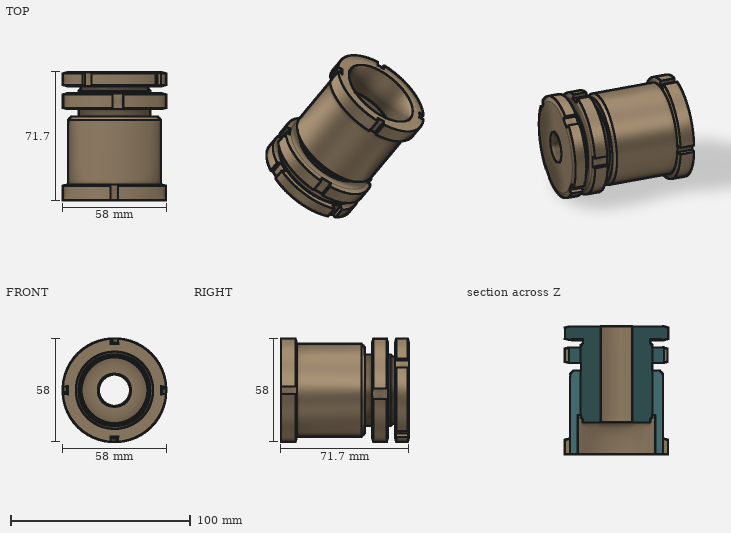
import cadquery as cq
import math


ring_radius = 29.0
edge_bevel_width = 3.0
edge_bevel_angle = 15.0
edge_bevel_height = edge_bevel_width * math.tan(math.radians(edge_bevel_angle))
slots_per_ring = 4

thread_radius = 20.0

housing_length = 47.0
flange_thickness = 9.0
barrel_radius = 26.0
barrel_chamfer = 2.0
counterbore_radius = 21.6
counterbore_depth = 22.0
flange_slot_width = 4.2
flange_slot_depth = ring_radius - barrel_radius

spanner_slot_width = 6.0
spanner_slot_depth = 2.5

locknut_start = 50.95
locknut_thickness = 9.0
locknut_turn = 4.0

spindle_end = 71.73
spindle_length = 54.0
spindle_start = spindle_end - spindle_length
head_thickness = 8.0
head_start = spindle_end - head_thickness
head_turn = -32.0
head_recess_radius = 25.0
head_recess_depth = 0.5
relief_radius = 18.9
relief_length = 1.1
relief_fillet = 0.8
relief_run_out_angle = 45.0
spindle_tip_chamfer = 0.5
through_hole_radius = 8.75
hole_chamfer = 0.5


def revolve_profile(points):
    """Revolve a closed outline of (radius, y) points about the Y axis."""
    return cq.Workplane("XY").polyline(points).close().revolve(360, (0, 0, 0), (0, 1, 0))


def cylinder(radius, start, end):
    """Solid cylinder on the Y axis between two Y positions."""
    return revolve_profile([(0, start), (radius, start), (radius, end), (0, end)])


def cut_rim_slots(body, start, end, width, depth, turn):
    """Cut the evenly spaced slots through a ring's rim, the first one turned away from +Z."""
    slot = cq.Workplane("XY").box(width, end - start, 2 * depth)
    slot = slot.translate((0, (start + end) / 2, ring_radius))
    for index in range(slots_per_ring):
        angle = turn + index * 360 / slots_per_ring
        body = body.cut(slot.rotate((0, 0, 0), (0, 1, 0), angle))
    return body


def double_bevelled_ring(start, end):
    """Disc whose rim is bevelled on both faces."""
    face_radius = ring_radius - edge_bevel_width
    return revolve_profile([
        (0, start),
        (face_radius, start),
        (ring_radius, start + edge_bevel_height),
        (ring_radius, end - edge_bevel_height),
        (face_radius, end),
        (0, end),
    ])


def make_housing():
    """Barrel with a slotted flange, a counterbore and a threaded bore."""
    body = revolve_profile([
        (0, 0),
        (ring_radius, 0),
        (ring_radius, flange_thickness - edge_bevel_height),
        (ring_radius - edge_bevel_width, flange_thickness),
        (barrel_radius, housing_length - barrel_chamfer),
        (barrel_radius - barrel_chamfer, housing_length),
        (0, housing_length),
    ])
    body = body.cut(cylinder(thread_radius, 0, housing_length))
    body = body.cut(cylinder(counterbore_radius, 0, counterbore_depth))
    return cut_rim_slots(body, 0, flange_thickness, flange_slot_width, flange_slot_depth, 0)


def make_locknut():
    """Slotted ring nut on the spindle thread."""
    end = locknut_start + locknut_thickness
    body = double_bevelled_ring(locknut_start, end)
    body = body.cut(cylinder(thread_radius, locknut_start, end))
    return cut_rim_slots(body, locknut_start, end, spanner_slot_width, spanner_slot_depth, locknut_turn)


def make_shank():
    """Threaded shank with a filleted relief at each end that runs out to the thread in a cone."""
    slope = math.radians(relief_run_out_angle)
    fillet_middle_radius = relief_radius + relief_fillet * (1 - math.cos(slope / 2))
    fillet_middle_length = relief_fillet * math.sin(slope / 2)
    fillet_end_radius = relief_radius + relief_fillet * (1 - math.cos(slope))
    fillet_end_length = relief_fillet * math.sin(slope)
    run_out_length = fillet_end_length + (thread_radius - fillet_end_radius) / math.tan(slope)

    front_fillet = spindle_start + spindle_tip_chamfer + relief_length
    rear_fillet = head_start - relief_length
    shank_end = head_start + head_recess_depth
    profile = (
        cq.Workplane("XY")
        .moveTo(0, spindle_start)
        .lineTo(relief_radius - spindle_tip_chamfer, spindle_start)
        .lineTo(relief_radius, spindle_start + spindle_tip_chamfer)
        .lineTo(relief_radius, front_fillet)
        .threePointArc(
            (fillet_middle_radius, front_fillet + fillet_middle_length),
            (fillet_end_radius, front_fillet + fillet_end_length),
        )
        .lineTo(thread_radius, front_fillet + run_out_length)
        .lineTo(thread_radius, rear_fillet - run_out_length)
        .lineTo(fillet_end_radius, rear_fillet - fillet_end_length)
        .threePointArc(
            (fillet_middle_radius, rear_fillet - fillet_middle_length),
            (relief_radius, rear_fillet),
        )
        .lineTo(relief_radius, shank_end)
        .lineTo(0, shank_end)
        .close()
    )
    return profile.revolve(360, (0, 0, 0), (0, 1, 0))


def make_spindle():
    """Hollow threaded shank with a slotted head, recessed where the shank meets it."""
    head = double_bevelled_ring(head_start, spindle_end)
    head = cut_rim_slots(head, head_start, spindle_end, spanner_slot_width, spanner_slot_depth, head_turn)
    head = head.cut(cylinder(head_recess_radius, head_start, head_start + head_recess_depth))
    hole = revolve_profile([
        (0, spindle_start),
        (through_hole_radius + hole_chamfer, spindle_start),
        (through_hole_radius, spindle_start + hole_chamfer),
        (through_hole_radius, spindle_end),
        (0, spindle_end),
    ])
    return make_shank().union(head).cut(hole)


housing = make_housing()
locknut = make_locknut()
spindle = make_spindle()

result = cq.Compound.makeCompound([housing.val(), locknut.val(), spindle.val()])